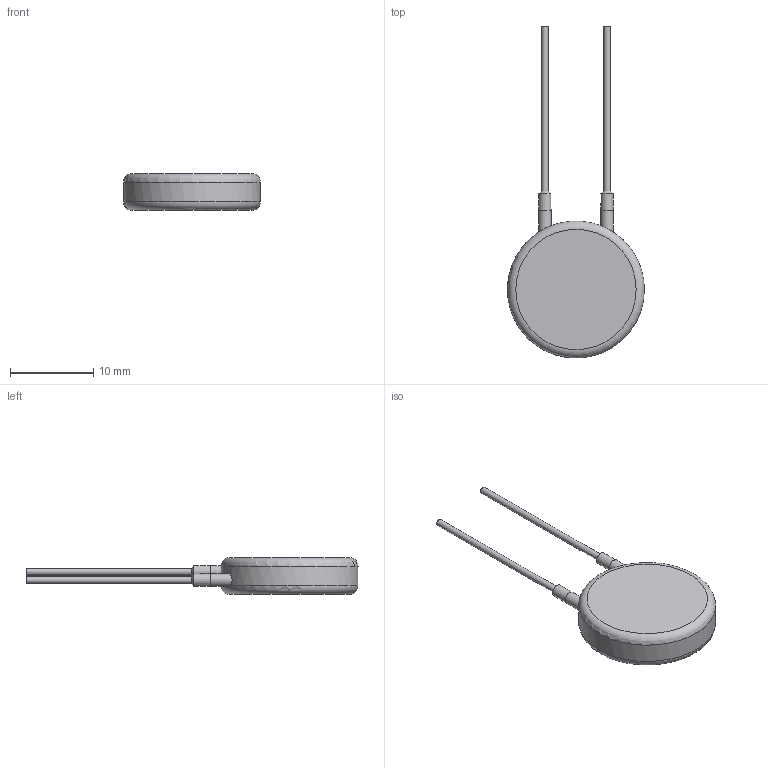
import cadquery as cq

disc_diameter = 16.5
disc_thickness = 4.4
disc_edge_radius = 1.0

lead_pitch = 7.5
lead_height_offset = 1.0
wire_diameter = 0.8
wire_free_length = 19.9
overall_length = 40.0

sleeve_diameter = 1.5
sleeve_tip_diameter = 1.47
sleeve_taper_length = 2.35
sleeve_tip_cone_length = 0.22

disc_radius = disc_diameter / 2
wire_radius = wire_diameter / 2
sleeve_radius = sleeve_diameter / 2
sleeve_tip_radius = sleeve_tip_diameter / 2

wire_end_y = overall_length - disc_radius
sleeve_end_y = wire_end_y - wire_free_length
sleeve_taper_start_y = sleeve_end_y - sleeve_taper_length
lead_root_y = disc_radius / 2


def make_disc():
    """Round body with both rims rounded."""
    return (
        cq.Workplane("XY")
        .circle(disc_radius)
        .extrude(disc_thickness / 2, both=True)
        .edges()
        .fillet(disc_edge_radius)
    )


def make_lead():
    """Wire and its coating sleeve, turned as one profile about the Y axis."""
    return (
        cq.Workplane("YZ")
        .moveTo(lead_root_y, 0)
        .lineTo(lead_root_y, sleeve_radius)
        .lineTo(sleeve_taper_start_y, sleeve_radius)
        .lineTo(sleeve_end_y - sleeve_tip_cone_length, sleeve_tip_radius)
        .lineTo(sleeve_end_y, wire_radius)
        .lineTo(wire_end_y, wire_radius)
        .lineTo(wire_end_y, 0)
        .close()
        .revolve(360, (0, 0, 0), (1, 0, 0))
    )


result = make_disc()
lead = make_lead()
for side in (-1, 1):
    lead_x = side * lead_pitch / 2
    lead_z = side * lead_height_offset / 2
    result = result.union(lead.translate((lead_x, 0, lead_z)))